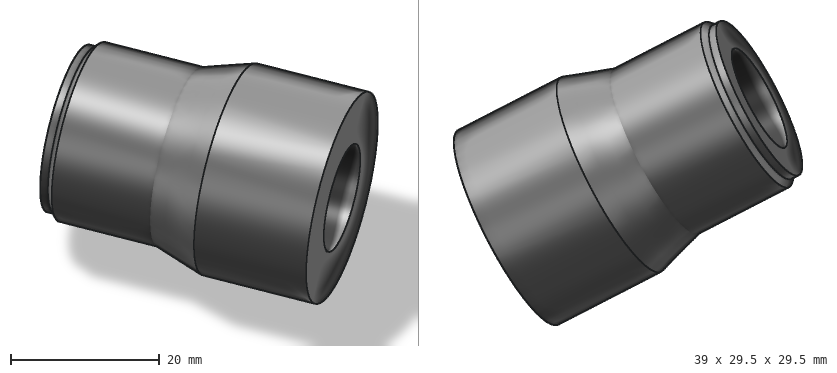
import cadquery as cq

length = 39.0
nose_diameter = 23.32
small_diameter = 25.0
large_diameter = 29.5
bore_diameter = 15.0
nose_length = 1.15
chamfer_end = 1.95
taper_start = 16.0
taper_end = 23.0


def make_body():
    """Revolve the solid outer shape about the X axis."""
    nose_radius = nose_diameter / 2
    small_radius = small_diameter / 2
    large_radius = large_diameter / 2
    return (
        cq.Workplane("XY")
        .lineTo(0, nose_radius)
        .lineTo(nose_length, nose_radius)
        .lineTo(chamfer_end, small_radius)
        .lineTo(taper_start, small_radius)
        .lineTo(taper_end, large_radius)
        .lineTo(length, large_radius)
        .lineTo(length, 0)
        .close()
        .revolve(360, (0, 0, 0), (1, 0, 0))
    )


def make_bore():
    """Straight hole running the full length."""
    return cq.Workplane("YZ").circle(bore_diameter / 2).extrude(length)


result = make_body().cut(make_bore())